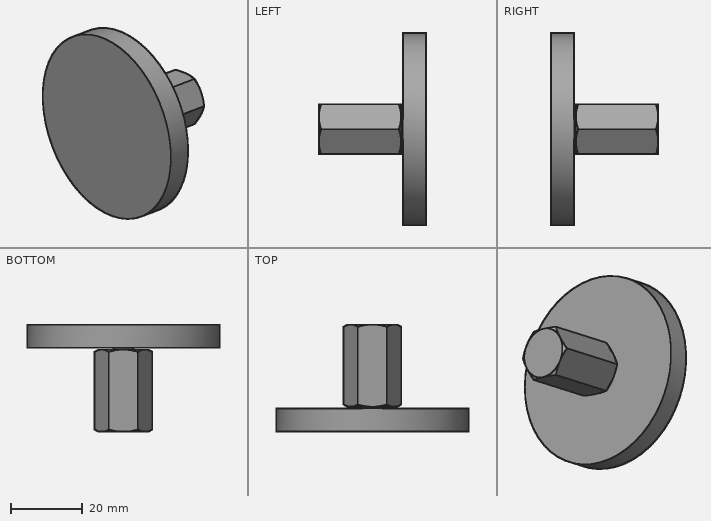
import cadquery as cq
import math

TOTAL_LENGTH = 30.0
DISC_DIAMETER = 54.0
DISC_THICKNESS = 6.55
NECK_BASE_DIAMETER = 5.85
NECK_TIP_DIAMETER = 5.2
NECK_LENGTH = 0.5
HEX_ACROSS_FLATS = 14.05
CHAMFER_ANGLE = 30.0

HEX_ACROSS_CORNERS = HEX_ACROSS_FLATS / math.cos(math.radians(30))
HEX_START = DISC_THICKNESS + NECK_LENGTH
END_RADIUS = HEX_ACROSS_FLATS / 2
CORNER_RADIUS = HEX_ACROSS_CORNERS / 2
CHAMFER_DEPTH = (CORNER_RADIUS - END_RADIUS) * math.tan(math.radians(CHAMFER_ANGLE))


def plane_at(y):
    """Plane across the axis at the given Y, facing +Y."""
    return cq.Plane(origin=(0, y, 0), xDir=(1, 0, 0), normal=(0, 1, 0))


def make_disc():
    """Round disc, front face at Y = 0, with a short tapered neck on its back."""
    plate = cq.Workplane(plane_at(0)).circle(DISC_DIAMETER / 2).extrude(DISC_THICKNESS)
    neck = (
        cq.Workplane(plane_at(DISC_THICKNESS))
        .circle(NECK_BASE_DIAMETER / 2)
        .workplane(offset=NECK_LENGTH)
        .circle(NECK_TIP_DIAMETER / 2)
        .loft(ruled=True)
    )
    return plate.union(neck)


def make_chamfer_envelope():
    """Cylinder with conical ends that trims the hexagon's corners."""
    return (
        cq.Workplane("XY")
        .moveTo(0, HEX_START)
        .lineTo(END_RADIUS, HEX_START)
        .lineTo(CORNER_RADIUS, HEX_START + CHAMFER_DEPTH)
        .lineTo(CORNER_RADIUS, TOTAL_LENGTH - CHAMFER_DEPTH)
        .lineTo(END_RADIUS, TOTAL_LENGTH)
        .lineTo(0, TOTAL_LENGTH)
        .close()
        .revolve(360, (0, 0, 0), (0, 1, 0))
    )


def make_standoff():
    """Hexagonal standoff seated on the neck, with two of its corners toward +/-X."""
    hexagon = (
        cq.Workplane(plane_at(HEX_START))
        .polygon(6, HEX_ACROSS_CORNERS)
        .extrude(TOTAL_LENGTH - HEX_START)
    )
    return hexagon.intersect(make_chamfer_envelope())


disc = make_disc()
standoff = make_standoff()

result = cq.Compound.makeCompound([disc.solids().val(), standoff.solids().val()])